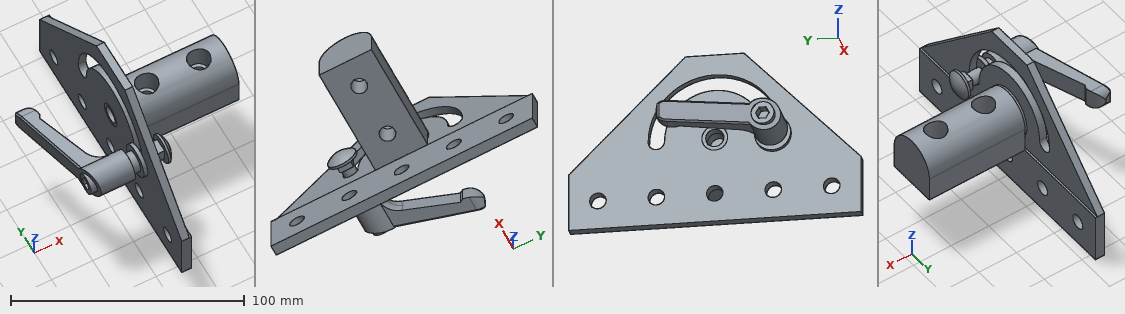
import cadquery as cq
import math


plate_width = 127.0
plate_height = 76.2
plate_top_width = 25.4
plate_side_height = 25.4
plate_thickness = 4.8
hole_pitch = 25.4
hole_count = 5
hole_diameter = 7.1
slot_radius = hole_pitch
slot_width = hole_diameter
hole_row_z = -25.4

flange_radius = 12.7
flange_thickness = 1.0
boss_radius = 5.6
bore_radius = 4.0

bar_size = 2 * flange_radius
bar_length = 50.8
bar_bore_depth = 6.4
cross_hole_pitch = bar_length / 2
counterbore_diameter = 10.4

clamp_y = -slot_radius
washer_radius = 7.9
washer_thickness = 1.9
insert_radius = 5.0
insert_end_x = -26.0
hex_flats = 5.1
hex_depth = 5.1

bolt_radius = 3.2
bolt_end_x = -17.8
neck_start_x = 6.9
neck_width = 6.5
neck_corner_chamfer = 0.5
head_start_x = 10.7
head_radius = 6.9
head_rim = 1.1
head_end_x = 14.4

hub_radius = 7.2
hub_end_x = -5.7
lever_width = 9.7
lever_chamfer = 0.8
tip_front_x = -37.0
tip_front_y = 43.7
face_angle = 16.0
tip_length = 45.1
tip_flat_x = -33.0
tip_bulge = (-30.0, 42.7)
tip_heel = (-28.0, 37.5)
back_top = (-28.8, 35.8)
back_angle = 19.8
blend_radius = 7.9


def rod(radius, start_x, end_x, y=0.0):
    """Cylinder along X between two X positions."""
    return cq.Workplane("YZ", origin=(start_x, y, 0)).circle(radius).extrude(end_x - start_x)


def face_x(y):
    """X of the lever's leaning front face at a distance y from the clamp axis."""
    return tip_front_x + (tip_front_y - y) * math.tan(math.radians(face_angle))


def back_x(y):
    """X of the arm's leaning back face at a distance y from the clamp axis."""
    return back_top[0] + (back_top[1] - y) * math.tan(math.radians(back_angle))


def make_plate():
    half_width = plate_width / 2
    half_top = plate_top_width / 2
    top_z = plate_height / 2
    bottom_z = -plate_height / 2
    shoulder_z = bottom_z + plate_side_height
    plate = (
        cq.Workplane("YZ")
        .polyline([
            (-half_width, bottom_z), (half_width, bottom_z), (half_width, shoulder_z),
            (half_top, top_z), (-half_top, top_z), (-half_width, shoulder_z),
        ])
        .close()
        .extrude(plate_thickness)
    )

    recess = (
        cq.Workplane("XY", origin=(plate_thickness - flange_thickness, 0, shoulder_z))
        .box(flange_thickness, plate_width, top_z - shoulder_z, centered=(False, True, False))
    )

    outer = slot_radius + slot_width / 2
    inner = slot_radius - slot_width / 2
    slot = (
        cq.Workplane("YZ")
        .moveTo(-outer, 0)
        .threePointArc((0, outer), (outer, 0))
        .threePointArc((slot_radius, -slot_width / 2), (inner, 0))
        .threePointArc((0, inner), (-inner, 0))
        .threePointArc((-slot_radius, -slot_width / 2), (-outer, 0))
        .close()
        .extrude(plate_thickness)
    )

    holes = (
        cq.Workplane("YZ", origin=(0, 0, hole_row_z))
        .rarray(hole_pitch, 1.3, hole_count, 1)
        .circle(hole_diameter / 2)
        .extrude(plate_thickness)
    )
    return plate.cut(recess).cut(slot).cut(holes).cut(rod(boss_radius, 0, plate_thickness))


def make_bushing():
    flange = rod(flange_radius, plate_thickness - flange_thickness, plate_thickness)
    boss = rod(boss_radius, 0, plate_thickness)
    return flange.union(boss).cut(rod(bore_radius, 0, plate_thickness))


def make_bar():
    half = bar_size / 2
    bar = (
        cq.Workplane("YZ", origin=(plate_thickness, 0, 0))
        .moveTo(-half, -half)
        .lineTo(half, -half)
        .lineTo(half, 0)
        .threePointArc((0, half), (-half, 0))
        .close()
        .extrude(bar_length)
    )
    bar = bar.cut(rod(bore_radius, plate_thickness, plate_thickness + bar_bore_depth))

    for side in (-1, 1):
        hole_x = plate_thickness + bar_length / 2 + side * cross_hole_pitch / 2
        through = cq.Workplane("XY", origin=(hole_x, 0, -half)).circle(hole_diameter / 2).extrude(bar_size)
        counterbore = cq.Workplane("XY", origin=(hole_x, 0, 0)).circle(counterbore_diameter / 2).extrude(half)
        bar = bar.cut(through).cut(counterbore)
    return bar


def make_washer():
    disc = rod(washer_radius, -washer_thickness, 0, clamp_y)
    return disc.cut(rod(bolt_radius, -washer_thickness, 0, clamp_y))


def make_insert():
    body = rod(insert_radius, insert_end_x, -washer_thickness, clamp_y)
    hex_corners = hex_flats / math.cos(math.pi / 6)
    socket = (
        cq.Workplane("YZ", origin=(insert_end_x, clamp_y, 0))
        .polygon(6, hex_corners)
        .extrude(hex_depth)
    )
    return body.cut(socket).cut(rod(bolt_radius, bolt_end_x, -washer_thickness, clamp_y))


def make_bolt():
    shaft = rod(bolt_radius, bolt_end_x, head_start_x, clamp_y)

    neck_length = head_start_x - neck_start_x
    neck_plane = cq.Workplane("YZ", origin=(neck_start_x, clamp_y, 0))
    neck_trim = (
        neck_plane.circle(neck_width / math.sqrt(2)).extrude(neck_length)
        .faces("<X").chamfer(neck_corner_chamfer)
    )
    neck = neck_plane.rect(neck_width, neck_width).extrude(neck_length).intersect(neck_trim)

    rim_x = head_start_x + head_rim
    crown = head_end_x - rim_x
    dome_radius = (head_radius ** 2 + crown ** 2) / (2 * crown)
    mid_y = head_radius / 2
    mid_x = head_end_x - dome_radius + math.sqrt(dome_radius ** 2 - mid_y ** 2)
    head = (
        cq.Workplane("XY", origin=(0, clamp_y, 0))
        .moveTo(head_start_x, 0)
        .lineTo(head_start_x, head_radius)
        .lineTo(rim_x, head_radius)
        .threePointArc((mid_x, mid_y), (head_end_x, 0))
        .close()
        .revolve(360, (0, 0, 0), (1, 0, 0))
    )
    return shaft.union(neck).union(head)


def make_arm():
    arm = (
        cq.Workplane("XY", origin=(0, clamp_y, -lever_width / 2))
        .moveTo(face_x(0), 0)
        .lineTo(tip_front_x, tip_front_y)
        .lineTo(tip_flat_x, tip_length)
        .threePointArc(tip_bulge, tip_heel)
        .lineTo(*back_top)
        .lineTo(back_x(0), 0)
        .close()
        .extrude(lever_width)
    )

    tip_radius = lever_width / 2
    tip_y = tip_length - tip_radius
    outline = (
        cq.Workplane("YZ", origin=(tip_front_x, clamp_y, 0))
        .moveTo(0, -tip_radius)
        .lineTo(tip_y, -tip_radius)
        .threePointArc((tip_length, 0), (tip_y, tip_radius))
        .lineTo(0, tip_radius)
        .close()
        .extrude(-tip_front_x)
    )
    arm = arm.intersect(outline)

    lean = math.radians(face_angle)
    front_direction = cq.Vector(-math.cos(lean), -math.sin(lean), 0)
    return arm.faces(cq.DirectionMinMaxSelector(front_direction)).chamfer(lever_chamfer)


def make_lever():
    hub = (
        cq.Workplane("XY", origin=(0, clamp_y, -hub_radius))
        .polyline([
            (face_x(-hub_radius), -hub_radius), (hub_end_x, -hub_radius),
            (hub_end_x, hub_radius), (face_x(hub_radius), hub_radius),
        ])
        .close()
        .extrude(2 * hub_radius)
        .intersect(rod(hub_radius, tip_front_x, hub_end_x, clamp_y))
    )
    lever = hub.union(make_arm())

    corner = (back_x(hub_radius), clamp_y + hub_radius, 0)
    lever = lever.edges(cq.NearestToPointSelector(corner)).fillet(blend_radius)
    return lever.cut(rod(insert_radius, insert_end_x, hub_end_x, clamp_y))


plate = make_plate()
bushing = make_bushing()
bar = make_bar()
washer = make_washer()
insert = make_insert()
bolt = make_bolt()
lever = make_lever()

result = cq.Compound.makeCompound([
    plate.val(), bushing.val(), bar.val(), washer.val(), insert.val(), bolt.val(), lever.val(),
])